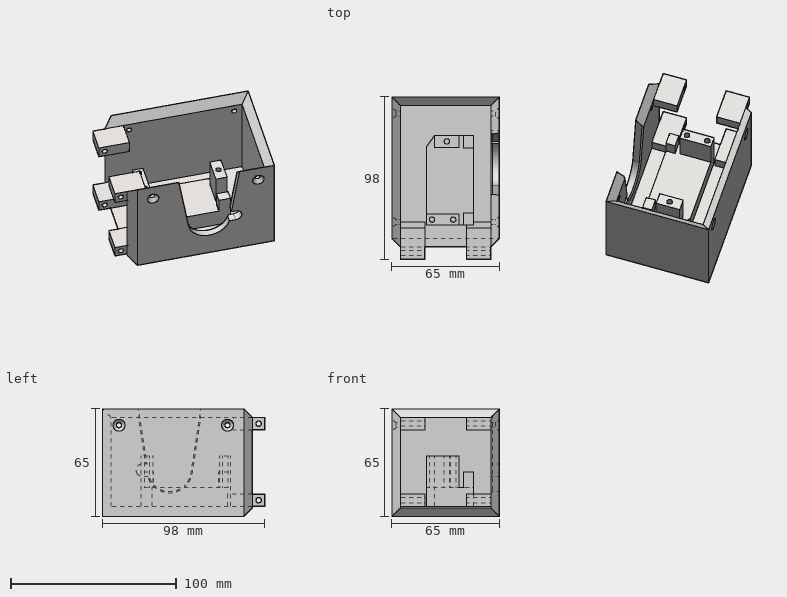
import cadquery as cq
import math


width = 65.0
height = 65.0
overall_depth = 98.04
tab_projection = 7.5
wall = 5.15
floor_lip = 1.0
floor_top = wall + floor_lip
shell_front = -(overall_depth - tab_projection)
margin = 10.0

tab_front = -overall_depth
tab_gap = 25.0
tab_width = (width - tab_gap) / 2 - wall
upper_tab_height = 7.6
lower_tab_height = 7.3
upper_tab_rear = -79.0
lower_tab_rear = -75.5
tab_hole_diameter = 3.1
tab_hole_y = shell_front - tab_projection / 2

screw_hole_ys = (-10.0, -75.5)
screw_hole_z = 55.1
screw_hole_diameter = 3.0
screw_head_diameter = 7.2
countersink_depth = 2.5

stand_left = 21.0
stand_right = 49.2
stand_rear = -23.4
stand_front = -77.4
stand_top = 17.6
stand_corner_x = 4.7
stand_corner_y = 6.6
pillar_top = 36.6
pillar_right = 40.6
rear_pillar_depth = 7.0
front_pillar_depth = 6.6
post_left = 43.4
post_top = 26.9
post_depth = 7.3
pilot_diameter = 3.2
pilot_depth = pillar_top - stand_top
rear_pilot = (33.2, -26.85)
front_pilots = ((24.3, -74.05), (37.1, -74.05))

notch_y = -40.55
notch_z = 28.0
notch_radius = 13.0
notch_top_half_width = 18.85
notch_chamfer_width = 0.75
notch_chamfer_depth = 0.95
cable_slot_radius = 3.75
cable_slot_center_y = -24.1


def box(x0, x1, y0, y1, z0, z1):
    """Axis-aligned block between two opposite corners."""
    return cq.Workplane("XY").box(x1 - x0, y1 - y0, z1 - z0, centered=False).translate((x0, y0, z0))


def make_shell():
    """Box open at the top and front, with bevelled rims."""
    body = box(0, width, shell_front, 0, 0, height).faces("<Y").chamfer(wall)
    cavity = box(wall, width - wall, shell_front - margin, -wall, floor_top, height + margin)
    half_width = width / 2
    rim_section = [
        (-half_width, height),
        (half_width, height),
        (half_width - wall, height - wall),
        (wall - half_width, height - wall),
    ]
    rim_length = overall_depth + margin
    rim = cq.Workplane("XZ").polyline(rim_section).close().extrude(rim_length).translate((half_width, 0, 0))
    rear_slope = (
        cq.Workplane("YZ")
        .polyline([(0, height), (-wall, height - wall), (0, height - wall)])
        .close()
        .extrude(width)
    )
    return body.cut(cavity).cut(rim.cut(rear_slope))


def make_tab(left, bottom, top, rear):
    """Forward-projecting block with a cross hole along X."""
    tab = box(left, left + tab_width, tab_front, rear, bottom, top)
    hole = (
        cq.Workplane("YZ", origin=(left, tab_hole_y, (bottom + top) / 2))
        .circle(tab_hole_diameter / 2)
        .extrude(tab_width)
    )
    return tab.cut(hole)


def add_tabs(body):
    """One upper and one lower tab against each side wall."""
    upper_tab_top = height - wall
    for left in (wall, width - wall - tab_width):
        upper = make_tab(left, upper_tab_top - upper_tab_height, upper_tab_top, upper_tab_rear)
        lower = make_tab(left, floor_top, floor_top + lower_tab_height, lower_tab_rear)
        body = body.union(upper).union(lower)
    return body


def make_stand():
    """Low platform with two drilled pillars and two narrow posts."""
    pillar_left = stand_left + stand_corner_x
    platform = (
        cq.Workplane("XY", origin=(0, 0, wall))
        .moveTo(stand_left, stand_front)
        .lineTo(stand_right, stand_front)
        .lineTo(stand_right, stand_rear)
        .lineTo(pillar_left, stand_rear)
        .lineTo(stand_left, stand_rear - stand_corner_y)
        .close()
        .extrude(stand_top - wall)
    )
    rear_pillar = box(
        pillar_left, pillar_right, stand_rear - rear_pillar_depth, stand_rear, stand_top, pillar_top
    )
    front_pillar = box(
        stand_left, pillar_right, stand_front, stand_front + front_pillar_depth, stand_top, pillar_top
    )
    stand = platform.union(rear_pillar).union(front_pillar)
    for post_front in (stand_front, stand_rear - post_depth):
        post = box(post_left, stand_right, post_front, post_front + post_depth, stand_top, post_top)
        stand = stand.union(post)
    pilots = (
        cq.Workplane("XY", origin=(0, 0, pillar_top))
        .pushPoints([rear_pilot, *front_pilots])
        .circle(pilot_diameter / 2)
        .extrude(-pilot_depth)
    )
    return stand.cut(pilots)


def cut_screw_holes(body):
    """Holes through both side walls, countersunk on the outside."""
    for y in screw_hole_ys:
        for outer_x, inward in ((0, 1), (width, -1)):
            mouth = cq.Vector(outer_x, y, screw_hole_z)
            axis = cq.Vector(inward, 0, 0)
            body = body.cut(cq.Solid.makeCylinder(screw_hole_diameter / 2, wall, mouth, axis))
            sink = cq.Solid.makeCone(
                screw_head_diameter / 2, screw_hole_diameter / 2, countersink_depth, mouth, axis
            )
            body = body.cut(sink)
    return body


def notch_outline(x, growth=0.0):
    """Round-bottomed V with sides tangent to the arc, widened all round by growth."""
    radius = notch_radius + growth
    rise = height - notch_z
    reach = math.hypot(notch_top_half_width, rise)
    tangent_angle = math.acos(notch_radius / reach) - math.atan2(rise, notch_top_half_width)
    tangent_y = radius * math.cos(tangent_angle)
    tangent_z = -radius * math.sin(tangent_angle)
    open_top = rise + margin
    top_y = tangent_y + (open_top - tangent_z) * math.tan(tangent_angle)
    return (
        cq.Workplane("YZ", origin=(x, notch_y, notch_z))
        .moveTo(-top_y, open_top)
        .lineTo(-tangent_y, tangent_z)
        .threePointArc((0, -radius), (tangent_y, tangent_z))
        .lineTo(top_y, open_top)
        .close()
    )


def cut_notch(body):
    """Open notch with a chamfered inner edge and a round-ended cable slot towards the rear."""
    inner_x = width - wall
    body = body.cut(notch_outline(inner_x).extrude(wall))
    chamfer_taper = math.degrees(math.atan2(notch_chamfer_width, notch_chamfer_depth))
    widened_outline = notch_outline(inner_x, notch_chamfer_width)
    body = body.cut(widened_outline.extrude(notch_chamfer_depth, taper=chamfer_taper))
    slot_end = (
        cq.Workplane("YZ", origin=(inner_x, cable_slot_center_y, notch_z))
        .circle(cable_slot_radius)
        .extrude(wall)
    )
    slot = box(
        inner_x,
        width,
        notch_y,
        cable_slot_center_y,
        notch_z - cable_slot_radius,
        notch_z + cable_slot_radius,
    )
    return body.cut(slot_end).cut(slot)


housing = make_shell()
housing = cut_screw_holes(housing)
housing = cut_notch(housing)
housing = add_tabs(housing)
result = housing.union(make_stand())